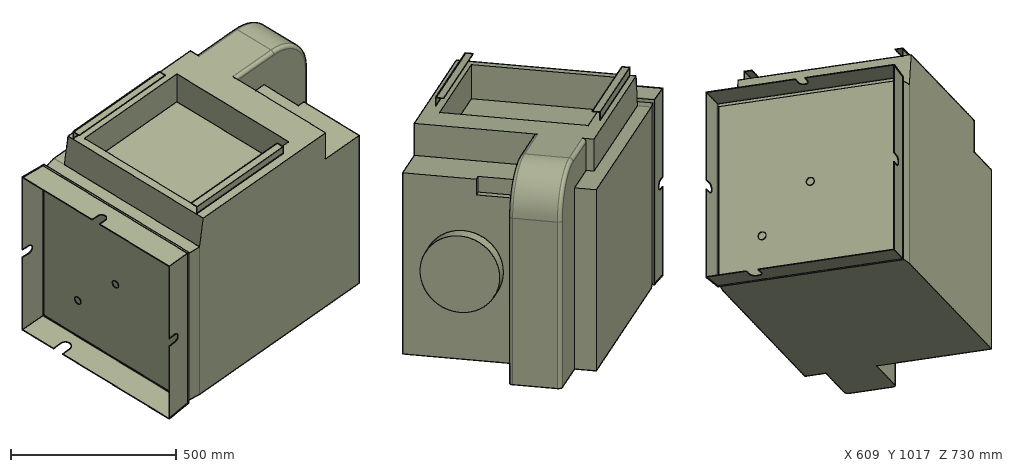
import cadquery as cq


housing_width = 603.0
housing_height = 589.0
housing_back_y = 846.0
neck_front_y = 86.0
neck_back_y = 137.0
neck_side_taper = 7.0
neck_top_taper = 5.0
half_width = housing_width / 2
mid_z = housing_height / 2

hood_left_x = -258.0
hood_height = 104.0
hood_top_z = housing_height + hood_height
hood_top_front_y = 154.0
hood_back_y = 697.0

well_left_x = -215.0
well_right_x = 248.0
well_front_y = 180.0
well_back_y = 590.0
well_depth = 111.0

rail_flange = 25.0
rail_height = 27.0
rail_thickness = 2.0
rail_front_y = 157.0
rail_back_y = 539.0

duct_left_x = -234.0
duct_width = 164.0
duct_back_y = 1017.0
duct_bend_radius = 152.0
duct_edge_radius = 12.0

spigot_diameter = 248.0
spigot_length = 47.0
spigot_x = 112.0

notch_right_x = 72.0
notch_length = 24.0
notch_depth = 51.0

pipe_hole_diameter = 25.0
pipe_hole_depth = 2.0
pipe_offset = 156.0

frame_front_size = 609.0
frame_back_size = 601.0
frame_wall = 2.0
flange_front_y = neck_front_y
flange_thickness = 5.0
flange_back_y = flange_front_y + flange_thickness
slot_width = 31.0
slot_length = 42.0
drain_slot_width = 38.0
drain_slot_length = 50.0


def block(x0, x1, y0, y1, z0, z1):
    """Box between two opposite corners."""
    return cq.Workplane("XY").box(x1 - x0, y1 - y0, z1 - z0, centered=False).translate((x0, y0, z0))


def section_plane(y):
    """Plane across the part at Y = y, with local x along X and local y along Z."""
    return cq.Workplane(cq.Plane(origin=(0, y, 0), xDir=(1, 0, 0), normal=(0, -1, 0)))


def make_neck():
    """Tapered front of the housing; its underside stays level."""
    front_height = housing_height - neck_top_taper
    return (
        section_plane(neck_back_y)
        .center(0, mid_z)
        .rect(housing_width, housing_height)
        .workplane(offset=neck_back_y - neck_front_y)
        .center(0, -neck_top_taper / 2)
        .rect(housing_width - 2 * neck_side_taper, front_height)
        .loft(ruled=True)
    )


def make_hood():
    profile = [
        (neck_back_y, housing_height),
        (hood_back_y, housing_height),
        (hood_back_y, hood_top_z),
        (hood_top_front_y, hood_top_z),
    ]
    hood_width = half_width - hood_left_x
    return cq.Workplane("YZ", origin=(hood_left_x, 0, 0)).polyline(profile).close().extrude(hood_width)


def make_rails():
    """Angles whose upright legs stand outside the well and whose flanges point inward."""
    rail_top_z = hood_top_z + rail_height
    left_x = well_left_x - rail_flange
    right_x = well_right_x + rail_flange
    upright_left = block(left_x, left_x + rail_thickness, rail_front_y, rail_back_y, hood_top_z, rail_top_z)
    upright_right = upright_left.translate((right_x - rail_thickness - left_x, 0, 0))
    flange_z = rail_top_z - rail_thickness
    flange_left = block(left_x, well_left_x, rail_front_y, rail_back_y, flange_z, rail_top_z)
    flange_right = flange_left.translate((well_right_x - left_x, 0, 0))
    return upright_left.union(flange_left).union(upright_right.union(flange_right))


def make_duct():
    duct = block(duct_left_x, duct_left_x + duct_width, hood_back_y, duct_back_y, 0, hood_top_z)
    duct = duct.edges(">Y and >Z").fillet(duct_bend_radius)
    return duct.faces(">Z").edges("<X or >X").fillet(duct_edge_radius)


def make_spigot():
    return (
        section_plane(housing_back_y + spigot_length)
        .center(spigot_x, mid_z)
        .circle(spigot_diameter / 2)
        .extrude(spigot_length)
    )


def make_pipe_holes():
    return (
        section_plane(neck_front_y + pipe_hole_depth)
        .center(0, mid_z)
        .pushPoints([(0, 0), (-pipe_offset, -pipe_offset)])
        .circle(pipe_hole_diameter / 2)
        .extrude(pipe_hole_depth)
    )


def make_housing():
    box = block(-half_width, half_width, neck_back_y, housing_back_y, 0, housing_height)
    notch = block(
        duct_left_x + duct_width, notch_right_x,
        housing_back_y - notch_length, housing_back_y,
        housing_height - notch_depth, housing_height,
    )
    well = block(
        well_left_x, well_right_x, well_front_y, well_back_y,
        hood_top_z - well_depth, hood_top_z,
    )
    return (
        box.cut(notch)
        .union(make_neck())
        .union(make_hood())
        .cut(well)
        .union(make_rails())
        .union(make_duct())
        .union(make_spigot())
        .cut(make_pipe_holes())
    )


def flared_block(front_size, back_size):
    """Square block widening from the flange to the front rim."""
    return (
        section_plane(flange_front_y)
        .center(0, mid_z)
        .rect(back_size, back_size)
        .workplane(offset=flange_front_y)
        .rect(front_size, front_size)
        .loft(ruled=True)
    )


def slot_cutter(axis_plane, across, width, length, reach):
    """Round-ended slot open at the front rim, running through along the plane's normal."""
    arc_y = length - width / 2
    round_end = cq.Workplane(axis_plane).center(across, arc_y).circle(width / 2).extrude(reach)
    straight = cq.Workplane(axis_plane).center(across, arc_y / 2).rect(width, arc_y).extrude(reach)
    return round_end.union(straight)


def make_frame():
    wall_allowance = 2 * frame_wall
    collar = flared_block(frame_front_size, frame_back_size).cut(
        flared_block(frame_front_size - wall_allowance, frame_back_size - wall_allowance)
    )
    flange = (
        section_plane(flange_back_y)
        .center(0, mid_z)
        .rect(frame_back_size, frame_back_size)
        .extrude(flange_thickness)
        .cut(make_neck())
    )
    frame = collar.union(flange)

    upward = cq.Plane(origin=(0, 0, mid_z), xDir=(1, 0, 0), normal=(0, 0, 1))
    below = cq.Plane(origin=(0, 0, mid_z - frame_front_size), xDir=(1, 0, 0), normal=(0, 0, 1))
    sideways = cq.Plane(origin=(-frame_front_size, 0, mid_z), xDir=(0, 0, -1), normal=(1, 0, 0))
    top_slot = slot_cutter(upward, 0, slot_width, slot_length, frame_front_size)
    bottom_slot = slot_cutter(below, -pipe_offset, drain_slot_width, drain_slot_length, frame_front_size)
    side_slots = slot_cutter(sideways, 0, slot_width, slot_length, 2 * frame_front_size)
    return frame.cut(top_slot).cut(bottom_slot).cut(side_slots)


housing = make_housing()
frame = make_frame()

result = cq.Compound.makeCompound([housing.val(), frame.val()])